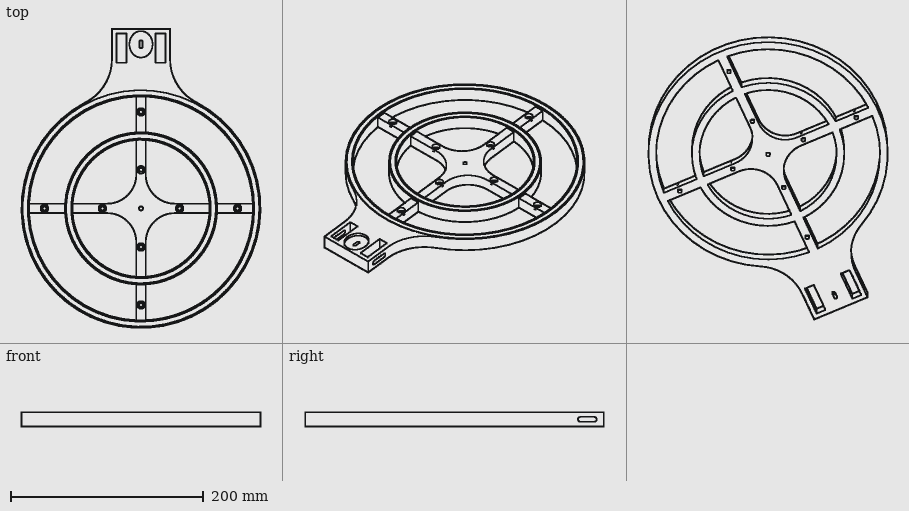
import cadquery as cq
import math

thickness = 15.0
overlap = 1.0

ring_width = 8.0
ring_inner_radii = (71.0, 116.0)
outer_ring_radius = ring_inner_radii[-1] + ring_width
groove_radius = 2.5

spoke_width = 10.0
spoke_height = 13.0
hub_fillet_radius = 30.0
screw_hole_diameter = 4.0
screw_head_diameter = 8.0
screw_head_depth = 4.0
screw_distances = (40.0, 100.0)
spoke_angles = (0, 90, 180, 270)

bracket_half_width = 30.25
bracket_end_y = outer_ring_radius + 62.0
bracket_fillet_radius = 50.0
bracket_wall = 5.0

window_width = 10.0
window_length = 30.0
window_end_wall = 5.0

side_slot_length = 19.5
side_slot_height = 5.0
side_slot_y = bracket_end_y - 17.25

recess_width = 24.0
recess_length = 27.5
recess_depth = 3.0
recess_y = bracket_end_y - 16.0
recess_slot_width = 3.0
recess_slot_length = 8.0


def make_ring(inner_radius):
    """Flat ring of rectangular section."""
    return cq.Workplane("XY").circle(inner_radius + ring_width).circle(inner_radius).extrude(thickness)


def make_groove(inner_radius):
    """Torus centred on the top face, halfway across a ring."""
    middle_radius = inner_radius + ring_width / 2
    section = cq.Workplane("XZ").center(middle_radius, thickness).circle(groove_radius)
    return section.revolve(360, (-middle_radius, 0, 0), (-middle_radius, 1, 0))


def make_spokes():
    """Two crossed bars reaching into the outer ring, blended by fillets at the centre."""
    length = 2 * (ring_inner_radii[-1] + ring_width / 2)
    along_x = cq.Workplane("XY").rect(length, spoke_width).extrude(spoke_height)
    along_y = cq.Workplane("XY").rect(spoke_width, length).extrude(spoke_height)
    inner_corners = cq.selectors.BoxSelector(
        (-spoke_width, -spoke_width, 0), (spoke_width, spoke_width, spoke_height)
    )
    cross = along_x.union(along_y)
    return cross.edges("|Z").edges(inner_corners).fillet(hub_fillet_radius)


def make_bracket():
    """Plate whose sides flare tangentially into the outer ring."""
    fillet_x = bracket_half_width + bracket_fillet_radius
    centre_distance = outer_ring_radius + bracket_fillet_radius
    fillet_y = math.sqrt(centre_distance**2 - fillet_x**2)
    ring_share = outer_ring_radius / centre_distance
    tangent_x = fillet_x * ring_share
    tangent_y = fillet_y * ring_share
    mid_angle = math.pi + math.atan2(fillet_y, fillet_x) / 2
    mid_x = fillet_x + bracket_fillet_radius * math.cos(mid_angle)
    mid_y = fillet_y + bracket_fillet_radius * math.sin(mid_angle)
    ring_middle_radius = outer_ring_radius - ring_width / 2
    return (
        cq.Workplane("XY")
        .moveTo(-bracket_half_width, bracket_end_y)
        .lineTo(bracket_half_width, bracket_end_y)
        .lineTo(bracket_half_width, fillet_y)
        .threePointArc((mid_x, mid_y), (tangent_x, tangent_y))
        .threePointArc((0, ring_middle_radius), (-tangent_x, tangent_y))
        .threePointArc((-mid_x, mid_y), (-bracket_half_width, fillet_y))
        .close()
        .extrude(thickness)
    )


def cut_screw_holes(body):
    """Counterbored holes along every spoke and a plain hole at the centre."""
    points = [
        (distance * math.cos(math.radians(angle)), distance * math.sin(math.radians(angle)))
        for angle in spoke_angles
        for distance in screw_distances
    ]
    top = cq.Workplane("XY", origin=(0, 0, spoke_height))
    heads = top.pushPoints(points).circle(screw_head_diameter / 2).extrude(-screw_head_depth)
    shafts = top.pushPoints(points + [(0, 0)]).circle(screw_hole_diameter / 2).extrude(-spoke_height)
    return body.cut(heads).cut(shafts)


def cut_strap_windows(body):
    """Rectangular windows beside the bracket edges, each with an oblong side opening."""
    window_x = bracket_half_width - bracket_wall - window_width / 2
    window_y = bracket_end_y - window_end_wall - window_length / 2
    for side in (-1, 1):
        window = (
            cq.Workplane("XY").center(side * window_x, window_y)
            .rect(window_width, window_length).extrude(thickness)
        )
        side_slot = (
            cq.Workplane("YZ", origin=(side * window_x, side_slot_y, thickness / 2))
            .slot2D(side_slot_length, side_slot_height)
            .extrude(side * (window_width / 2 + bracket_wall + overlap))
        )
        body = body.cut(window).cut(side_slot)
    return body


def cut_oval_recess(body):
    """Shallow oval recess with a through slot at its centre."""
    recess = (
        cq.Workplane("XY", origin=(0, recess_y, thickness))
        .ellipse(recess_width / 2, recess_length / 2).extrude(-recess_depth)
    )
    slot = (
        cq.Workplane("XY").center(0, recess_y)
        .slot2D(recess_slot_length, recess_slot_width, 90).extrude(thickness)
    )
    return body.cut(recess).cut(slot)


body = make_spokes().union(make_bracket())
for radius in ring_inner_radii:
    body = body.union(make_ring(radius))
for radius in ring_inner_radii:
    body = body.cut(make_groove(radius))
body = cut_screw_holes(body)
body = cut_strap_windows(body)
result = cut_oval_recess(body)